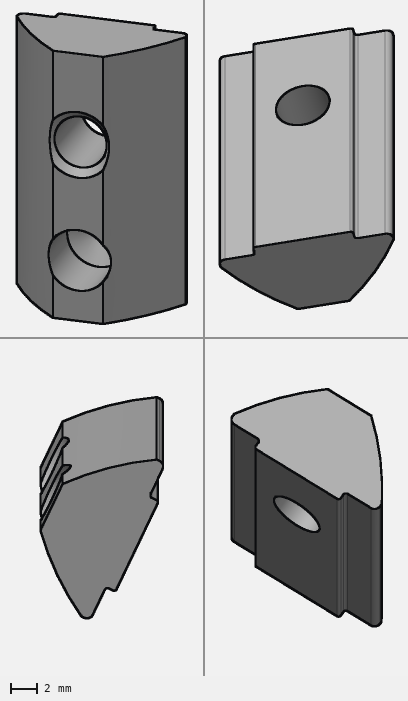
import cadquery as cq
import math

length = 22.0
width = 13.5
depth = 7.2

front_flat_width = 4.0
tongue_width = 7.79
tongue_height = 0.8
flank_end_y = 5.68
flank_bulge = 0.3
wing_radius = 0.5
tongue_root_radius = 0.22
tongue_edge_radius = 0.2

thread_radius = 2.1
thread_mouth_radius = 2.7
thread_z = 14.5

ball_radius = 2.497
ball_floor_radius = 0.35
ball_wall_depth = 5.0
ball_z = 5.0
drill_point_angle = 118.0

clearance = 0.22


def make_bar():
    half_width = width / 2
    half_flat = front_flat_width / 2
    half_tongue = tongue_width / 2
    wing_y = depth - tongue_height

    chord_x = half_width - half_flat
    chord = math.hypot(chord_x, flank_end_y)
    mid_x = (half_width + half_flat) / 2 + flank_bulge * flank_end_y / chord
    mid_y = flank_end_y / 2 - flank_bulge * chord_x / chord

    bar = (
        cq.Workplane("XY")
        .moveTo(-half_flat, 0)
        .lineTo(half_flat, 0)
        .threePointArc((mid_x, mid_y), (half_width, flank_end_y))
        .lineTo(half_width, wing_y)
        .lineTo(half_tongue, wing_y)
        .lineTo(half_tongue, depth)
        .lineTo(-half_tongue, depth)
        .lineTo(-half_tongue, wing_y)
        .lineTo(-half_width, wing_y)
        .lineTo(-half_width, flank_end_y)
        .threePointArc((-mid_x, mid_y), (-half_flat, 0))
        .close()
        .extrude(length)
    )

    def round_edges(body, x, y, radius):
        for side in (-1, 1):
            point = (side * x, y, length / 2)
            body = body.edges(cq.selectors.NearestToPointSelector(point)).fillet(radius)
        return body

    bar = round_edges(bar, half_width, wing_y, wing_radius)
    bar = round_edges(bar, half_tongue, wing_y, tongue_root_radius)
    return round_edges(bar, half_tongue, depth, tongue_edge_radius)


def revolve_cutter(profile, z):
    """Revolve (radius, y) points about an axis along Y at height z."""
    cutter = cq.Workplane("XY").polyline(profile).close().revolve(360, (0, 0), (0, 1))
    return cutter.translate((0, 0, z))


def threaded_hole():
    return revolve_cutter([
        (0, -clearance),
        (thread_mouth_radius + clearance, -clearance),
        (thread_radius, thread_mouth_radius - thread_radius),
        (thread_radius, depth + clearance),
        (0, depth + clearance),
    ], thread_z)


def ball_hole():
    half_angle = math.radians(drill_point_angle / 2)
    cone_depth = (ball_radius - ball_floor_radius) / math.tan(half_angle)
    floor_y = ball_wall_depth + cone_depth
    return revolve_cutter([
        (0, -clearance),
        (ball_radius, -clearance),
        (ball_radius, ball_wall_depth),
        (ball_floor_radius, floor_y),
        (0, floor_y),
    ], ball_z)


result = make_bar().cut(threaded_hole()).cut(ball_hole())